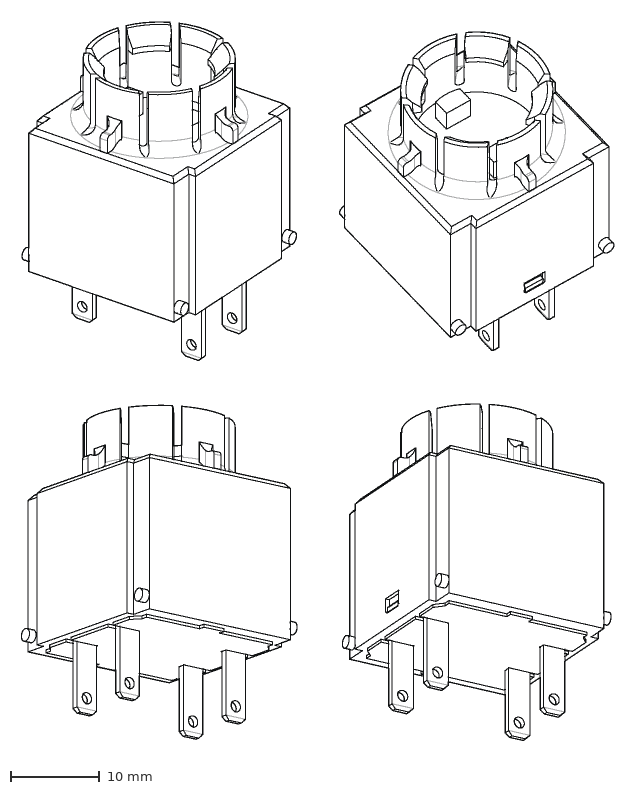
import cadquery as cq
import math

HOUSING_HALF = 11.1
CORNER_HALF_X = 10.15
STEP_HALF_Y = 8.25
HOUSING_TOP = 18.4
BEVEL_INSET = 0.5
BEVEL_HEIGHT = 0.6

COLLAR_TOP = 25.81
COLLAR_RADIUS = 8.6
COLLAR_FLARE = 1.42
BORE_RADIUS = 14.7 / 2
BORE_FLOOR = 16.85
MOUTH_RADIUS = 8.0
MOUTH_DEPTH = 1.8

HOOK_RADIUS = 6.3
HOOK_LIP = 0.7
HOOK_ANGLE = 39.4

SLOT_WIDTH = 1.0
SLOT_OFFSET = 3.0

RIB_WIDTH = 1.0
RIB_REACH = 10.65
RIB_TOP = 20.55
RIB_NOSE_RADIUS = 0.5
RIB_SWEEP_RADIUS = 1.3
RIB_SIDE_FILLET = 0.5
RIB_ROOT = 8.0

BLOCK_INNER_X = 3.47
BLOCK_OUTER_RADIUS = 5.8
BLOCK_HALF_Y = 1.69
BLOCK_TOP = 19.6

PIN_DIAMETER = 1.5
PIN_Z = 1.67

PAD_THICKNESS = 0.35
PAD_HALF_X = 10.0
PAD_NECK_HALF_X = 9.05
PAD_STRAIGHT_HALF_Y = 7.3
PAD_NECK_Y = 8.35
PAD_HALF_Y = 9.2
PAD_TONGUE_Y = 10.0
PAD_TONGUE_HALF_X = 1.45

BLADE_X = 7.63
BLADE_Y = 3.9
BLADE_WIDTH = 2.8
BLADE_THICKNESS = 0.8
BLADE_BOTTOM = -8.5
BLADE_CHAMFER = 0.5
BLADE_FACE_CHAMFER = 0.12
BLADE_HOLE_DIAMETER = 1.3
BLADE_HOLE_Z = -6.72
BLADE_SLOT_GAP = 0.1

WINDOW_WIDTH = 2.9
WINDOW_BOTTOM = 1.85
WINDOW_TOP = 3.67
WINDOW_DEPTH = 0.5
WINDOW_CHAMFER = 0.22
CATCH_WIDTH = 2.42
CATCH_RECESS = 0.1
CATCH_FRONT_TOP = 2.53
CATCH_BACK_TOP = 2.76


def mirrored_outline(quarter):
    """Close an outline from its +X +Y quarter, listed from the X side to the Y side."""
    upper = quarter + [(-x, y) for x, y in reversed(quarter)]
    return upper + [(-x, -y) for x, y in upper]


def box_between(x_range, y_range, z_range):
    """Axis-aligned box from its limits on the three axes."""
    (x0, x1), (y0, y1), (z0, z1) = x_range, y_range, z_range
    return cq.Workplane("XY").box(x1 - x0, y1 - y0, z1 - z0, centered=False).translate((x0, y0, z0))


def housing_outline(inset):
    """Housing outline with recessed corners, moved inwards by the inset."""
    return mirrored_outline([
        (HOUSING_HALF - inset, STEP_HALF_Y - inset),
        (CORNER_HALF_X - inset, STEP_HALF_Y - inset),
        (CORNER_HALF_X - inset, HOUSING_HALF - inset),
    ])


def make_housing():
    """Block with straight walls and a bevel around its top edge."""
    shoulder = HOUSING_TOP - BEVEL_HEIGHT
    walls = cq.Workplane("XY").polyline(housing_outline(0)).close().extrude(shoulder)
    bevel = (
        cq.Workplane("XY").workplane(offset=shoulder)
        .polyline(housing_outline(0)).close()
        .workplane(offset=BEVEL_HEIGHT)
        .polyline(housing_outline(BEVEL_INSET)).close()
        .loft(ruled=True)
    )
    return walls.union(bevel)


def make_collar():
    """Solid collar with its flared foot, sunk into the housing."""
    foot_radius = COLLAR_RADIUS + COLLAR_FLARE
    flare_mid = COLLAR_FLARE * (1 - math.sqrt(0.5))
    return (
        cq.Workplane("XZ")
        .moveTo(0, BORE_FLOOR)
        .lineTo(foot_radius, BORE_FLOOR)
        .lineTo(foot_radius, HOUSING_TOP)
        .threePointArc(
            (COLLAR_RADIUS + flare_mid, HOUSING_TOP + flare_mid),
            (COLLAR_RADIUS, HOUSING_TOP + COLLAR_FLARE),
        )
        .lineTo(COLLAR_RADIUS, COLLAR_TOP)
        .lineTo(0, COLLAR_TOP)
        .close()
        .revolve(360, (0, 0, 0), (0, 1, 0))
    )


def make_rib():
    """Rib on +X: a side profile cut to a plan shape that widens into the collar."""
    sweep_top = RIB_TOP + RIB_SWEEP_RADIUS
    sweep_mid = RIB_SWEEP_RADIUS * (1 - math.sqrt(0.5))
    nose_mid = RIB_NOSE_RADIUS * (1 - math.sqrt(0.5))
    profile = (
        cq.Workplane("XZ", origin=(0, HOUSING_HALF, 0))
        .moveTo(RIB_ROOT, HOUSING_TOP)
        .lineTo(RIB_REACH, HOUSING_TOP)
        .lineTo(RIB_REACH, RIB_TOP - RIB_NOSE_RADIUS)
        .threePointArc((RIB_REACH - nose_mid, RIB_TOP - nose_mid), (RIB_REACH - RIB_NOSE_RADIUS, RIB_TOP))
        .lineTo(COLLAR_RADIUS + RIB_SWEEP_RADIUS, RIB_TOP)
        .threePointArc((COLLAR_RADIUS + sweep_mid, RIB_TOP + sweep_mid), (COLLAR_RADIUS, sweep_top))
        .lineTo(RIB_ROOT, sweep_top)
        .close()
        .extrude(2 * HOUSING_HALF)
    )
    half = RIB_WIDTH / 2
    wide = half + RIB_SIDE_FILLET
    fillet_end = COLLAR_RADIUS + RIB_SIDE_FILLET
    fillet_mid = RIB_SIDE_FILLET * (1 - math.sqrt(0.5))
    plan = (
        cq.Workplane("XY").workplane(offset=HOUSING_TOP)
        .moveTo(RIB_ROOT, -wide)
        .lineTo(COLLAR_RADIUS, -wide)
        .threePointArc((COLLAR_RADIUS + fillet_mid, -half - fillet_mid), (fillet_end, -half))
        .lineTo(RIB_REACH, -half)
        .lineTo(RIB_REACH, half)
        .lineTo(fillet_end, half)
        .threePointArc((COLLAR_RADIUS + fillet_mid, half + fillet_mid), (COLLAR_RADIUS, wide))
        .lineTo(RIB_ROOT, wide)
        .close()
        .extrude(sweep_top - HOUSING_TOP)
    )
    return profile.intersect(plan)


def make_bore():
    """Bore with a conical lead-in at the rim."""
    return (
        cq.Workplane("XZ")
        .polyline([
            (0, BORE_FLOOR),
            (BORE_RADIUS, BORE_FLOOR),
            (BORE_RADIUS, COLLAR_TOP - MOUTH_DEPTH),
            (MOUTH_RADIUS, COLLAR_TOP),
            (0, COLLAR_TOP),
        ])
        .close()
        .revolve(360, (0, 0, 0), (0, 1, 0))
    )


def make_hook():
    """Hook sector that starts on +X and runs counterclockwise seen from above."""
    lip_top = COLLAR_TOP - MOUTH_DEPTH
    root_radius = (MOUTH_RADIUS + COLLAR_RADIUS) / 2
    return (
        cq.Workplane("XZ")
        .polyline([
            (HOOK_RADIUS, lip_top - HOOK_LIP),
            (HOOK_RADIUS, lip_top),
            (MOUTH_RADIUS, COLLAR_TOP),
            (root_radius, COLLAR_TOP),
            (root_radius, lip_top - HOOK_LIP),
        ])
        .close()
        .revolve(HOOK_ANGLE, (0, 0, 0), (0, 1, 0))
    )


def make_slot(offset):
    """Round-bottomed slot along X, shifted sideways by the offset."""
    length = 2 * (COLLAR_RADIUS + COLLAR_FLARE)
    radius = SLOT_WIDTH / 2
    axis_z = HOUSING_TOP + radius
    return (
        cq.Workplane("YZ", origin=(-length / 2, offset, 0))
        .moveTo(-radius, COLLAR_TOP)
        .lineTo(-radius, axis_z)
        .threePointArc((0, HOUSING_TOP), (radius, axis_z))
        .lineTo(radius, COLLAR_TOP)
        .close()
        .extrude(length)
    )


def make_floor_blocks():
    """Two raised blocks with arched outer ends."""
    height = BLOCK_TOP - BORE_FLOOR
    disc = cq.Workplane("XY").workplane(offset=BORE_FLOOR).circle(BLOCK_OUTER_RADIUS).extrude(height)
    y_range = (-BLOCK_HALF_Y, BLOCK_HALF_Y)
    z_range = (BORE_FLOOR, BLOCK_TOP)
    right = box_between((BLOCK_INNER_X, BLOCK_OUTER_RADIUS), y_range, z_range)
    left = box_between((-BLOCK_OUTER_RADIUS, -BLOCK_INNER_X), y_range, z_range)
    return disc.intersect(right.union(left))


def make_pins():
    """Two pins through the housing that stand out of the recessed corners."""
    pin_y = HOUSING_HALF - PIN_DIAMETER / 2
    return (
        cq.Workplane("YZ", origin=(-HOUSING_HALF, 0, 0))
        .pushPoints([(-pin_y, PIN_Z), (pin_y, PIN_Z)])
        .circle(PIN_DIAMETER / 2)
        .extrude(2 * HOUSING_HALF)
    )


def make_pad():
    """Pad with chamfered corners, two tongues and open slots for the blades."""
    outline = mirrored_outline([
        (PAD_HALF_X, PAD_STRAIGHT_HALF_Y),
        (PAD_NECK_HALF_X, PAD_NECK_Y),
        (PAD_NECK_HALF_X, PAD_HALF_Y),
        (PAD_TONGUE_HALF_X, PAD_HALF_Y),
        (PAD_TONGUE_HALF_X, PAD_TONGUE_Y),
    ])
    pad = cq.Workplane("XY").polyline(outline).close().extrude(-PAD_THICKNESS)
    slot_x = (BLADE_X - BLADE_WIDTH / 2, PAD_HALF_X)
    slot_y = (BLADE_Y - BLADE_THICKNESS / 2 - BLADE_SLOT_GAP, BLADE_Y + BLADE_THICKNESS / 2)
    slot = box_between(slot_x, slot_y, (-PAD_THICKNESS, 0))
    slots = slot.union(slot.mirror("XZ"))
    return pad.cut(slots).cut(slots.mirror("YZ"))


def make_blade(x, y):
    """Terminal blade with a chamfered tip and a cross hole."""
    height = -BLADE_BOTTOM
    blade = (
        cq.Workplane("XY")
        .box(BLADE_WIDTH, BLADE_THICKNESS, height, centered=(True, True, False))
        .faces("<Z").edges("|Y").chamfer(BLADE_CHAMFER)
        .faces("<Z").edges("|X").chamfer(BLADE_CHAMFER, BLADE_FACE_CHAMFER)
    )
    hole = (
        cq.Workplane("XZ", origin=(0, BLADE_THICKNESS, 0))
        .center(0, BLADE_HOLE_Z - BLADE_BOTTOM)
        .circle(BLADE_HOLE_DIAMETER / 2)
        .extrude(2 * BLADE_THICKNESS)
    )
    return blade.cut(hole).translate((x, y, BLADE_BOTTOM))


def make_window():
    """Shallow latch window that leaves a catch with a sloped top inside it."""
    floor_x = WINDOW_DEPTH - HOUSING_HALF
    window = box_between(
        (-HOUSING_HALF, floor_x),
        (-WINDOW_WIDTH / 2, WINDOW_WIDTH / 2),
        (WINDOW_BOTTOM, WINDOW_TOP),
    ).faces("<Z").edges("|X").chamfer(WINDOW_CHAMFER)
    catch_x = CATCH_RECESS - HOUSING_HALF
    catch = (
        cq.Workplane("XZ", origin=(0, CATCH_WIDTH / 2, 0))
        .polyline([
            (floor_x, WINDOW_BOTTOM),
            (catch_x, WINDOW_BOTTOM),
            (catch_x, CATCH_FRONT_TOP),
            (floor_x, CATCH_BACK_TOP),
        ])
        .close()
        .extrude(CATCH_WIDTH)
    )
    return window.cut(catch)


def rotated(shape, angle):
    """Turn a shape about the Z axis by an angle in degrees."""
    return shape.rotate((0, 0, 0), (0, 0, 1), angle)


body = make_housing().union(make_collar())
for axis_angle in (0, 90, 180, 270):
    body = body.union(rotated(make_rib(), axis_angle))

body = body.cut(make_bore())
for diagonal_angle in (45, 135, 225, 315):
    body = body.union(rotated(make_hook(), diagonal_angle - HOOK_ANGLE / 2))

for diagonal_angle in (45, 135):
    for offset in (-SLOT_OFFSET, SLOT_OFFSET):
        body = body.cut(rotated(make_slot(offset), diagonal_angle))

body = body.union(make_floor_blocks())
body = body.union(make_pins())
body = body.union(make_pad())
for blade_x in (-BLADE_X, BLADE_X):
    for blade_y in (-BLADE_Y, BLADE_Y):
        body = body.union(make_blade(blade_x, blade_y))

result = body.cut(make_window())